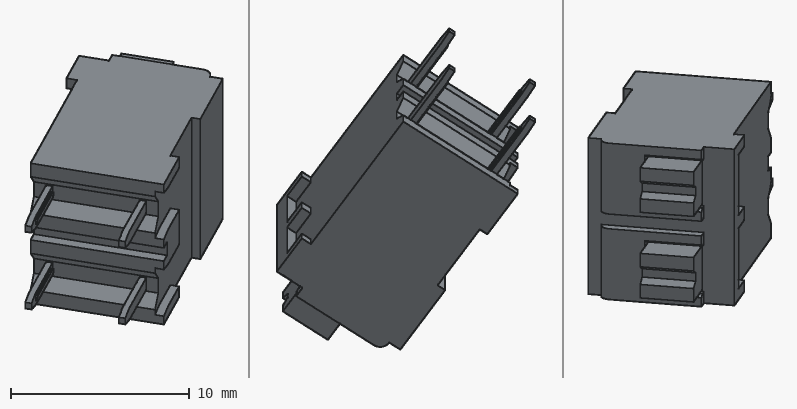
import cadquery as cq


pole_pitch = 5.08
pole_height = 4.2
pole_centers = (-pole_pitch / 2, pole_pitch / 2)
total_height = pole_pitch + pole_height

housing_width = 7.79
shoulder_y = 11.58
gap_height = pole_pitch - pole_height
gap_depth = 0.63

flange_thickness = 0.62
flange_web_y = 10.56
flange_arm_y = 9.1
end_arm_height = 0.67
middle_arm_height = 0.77

side_recess_depth = 0.51
side_recess_y = (3.0, 7.15)
channel_mouth_height = 3.09
channel_inner_height = 2.78
channel_taper_length = 0.85

groove_depth = 0.63
groove_mouth_height = 2.42
groove_floor_height = 0.98

ledge_left_x = 1.13
ledge_right_x = 7.03
ledge_depth = 0.62
window_height = 2.81
window_mouth_height = 3.12
window_flare_depth = 0.25
window_clearance = 0.09

actuator_left_x = 1.23
actuator_width = 3.07
actuator_height = 2.64
actuator_end_y = 13.67
notch_mouth_height = 1.05
notch_floor_height = 0.5
notch_depth = 0.48

pin_thickness = 0.38
pin_height = 0.79
pin_tip_height = 0.41
pin_length = 3.48
pin_taper_start = 2.7
left_pin_x = 0.72
right_pin_x = 6.19
ridge_height = 0.36
ridge_start_y = 0.51
ridge_projection = 0.1


def block(x_range, y_range, z_range):
    """Box between the given limits."""
    lows, highs = zip(x_range, y_range, z_range)
    size = [high - low for low, high in zip(lows, highs)]
    return cq.Workplane("XY").box(*size, centered=False).translate(lows)


def side_profile(points, x_range):
    """Closed (y, z) outline extruded between two X positions."""
    x_start, x_end = x_range
    return cq.Workplane("YZ", origin=(x_start, 0, 0)).polyline(points).close().extrude(x_end - x_start)


def tapered_slot(y_wide, y_narrow, wide_height, narrow_height, center_z):
    """Symmetric trapezoid whose height changes along Y."""
    return [
        (y_wide, center_z - wide_height / 2),
        (y_wide, center_z + wide_height / 2),
        (y_narrow, center_z + narrow_height / 2),
        (y_narrow, center_z - narrow_height / 2),
    ]


def make_flange():
    x_range = (-flange_thickness, 0)
    top = total_height / 2
    flange = block(x_range, (flange_web_y, shoulder_y), (-top, top))
    arms = (
        (-top, -top + end_arm_height),
        (-middle_arm_height / 2, middle_arm_height / 2),
        (top - end_arm_height, top),
    )
    for z_range in arms:
        flange = flange.union(block(x_range, (flange_arm_y, flange_web_y), z_range))
    return flange


def make_housing():
    full_height = (-total_height / 2, total_height / 2)
    recess_x = (housing_width - side_recess_depth, housing_width)
    housing = block((0, housing_width), (0, shoulder_y), full_height)
    housing = housing.union(make_flange())
    housing = housing.cut(block((0, housing_width), (0, gap_depth), (-gap_height / 2, gap_height / 2)))
    housing = housing.cut(block(recess_x, side_recess_y, full_height))
    for center_z in pole_centers:
        groove = tapered_slot(0, groove_depth, groove_mouth_height, groove_floor_height, center_z)
        housing = housing.cut(side_profile(groove, (0, housing_width)))
        mouth = tapered_slot(0, channel_taper_length, channel_mouth_height, channel_inner_height, center_z)
        housing = housing.cut(side_profile(mouth, recess_x))
        inner_z = (center_z - channel_inner_height / 2, center_z + channel_inner_height / 2)
        housing = housing.cut(block(recess_x, (0, side_recess_y[0]), inner_z))
    return housing


def make_ledge(center_z):
    """Rear ledge with a rounded right corner and a flared window open to the left."""
    rear_y = shoulder_y + ledge_depth
    window_x = (ledge_left_x, actuator_left_x + actuator_width + window_clearance)
    window_z = (center_z - window_height / 2, center_z + window_height / 2)
    flare = tapered_slot(
        rear_y, rear_y - window_flare_depth, window_mouth_height, window_height, center_z
    )
    return (
        cq.Workplane("XY", origin=(0, 0, center_z - pole_height / 2))
        .moveTo(ledge_left_x, shoulder_y)
        .lineTo(ledge_right_x, shoulder_y)
        .radiusArc((ledge_right_x - ledge_depth, rear_y), -ledge_depth)
        .lineTo(ledge_left_x, rear_y)
        .close()
        .extrude(pole_height)
        .cut(block(window_x, (shoulder_y, rear_y), window_z))
        .cut(side_profile(flare, window_x))
    )


def make_actuator(center_z):
    x_range = (actuator_left_x, actuator_left_x + actuator_width)
    z_range = (center_z - actuator_height / 2, center_z + actuator_height / 2)
    actuator = block(x_range, (shoulder_y, actuator_end_y), z_range)
    notch = tapered_slot(
        actuator_end_y, actuator_end_y - notch_depth, notch_mouth_height, notch_floor_height, center_z
    )
    return actuator.cut(side_profile(notch, x_range))


def make_pin(left_x, center_z, ridge_side):
    """Tapered flat pin with a round-ended ridge; ridge_side is +1 for its right face, -1 for its left."""
    outline = [
        (groove_depth, center_z - pin_height / 2),
        (groove_depth, center_z + pin_height / 2),
        (-pin_taper_start, center_z + pin_height / 2),
        (-pin_length, center_z + pin_tip_height / 2),
        (-pin_length, center_z - pin_tip_height / 2),
        (-pin_taper_start, center_z - pin_height / 2),
    ]
    pin = side_profile(outline, (left_x, left_x + pin_thickness))
    ridge_x = left_x + pin_thickness if ridge_side > 0 else left_x - ridge_projection
    ridge_center_y = (ridge_start_y - pin_taper_start) / 2
    ridge = (
        cq.Workplane("YZ", origin=(ridge_x, ridge_center_y, center_z))
        .slot2D(ridge_start_y + pin_taper_start, ridge_height)
        .extrude(ridge_projection)
    )
    return pin.union(ridge)


result = make_housing()
for pole_z in pole_centers:
    result = result.union(make_ledge(pole_z))
    result = result.union(make_actuator(pole_z))
    result = result.union(make_pin(left_pin_x, pole_z, 1))
    result = result.union(make_pin(right_pin_x, pole_z, -1))